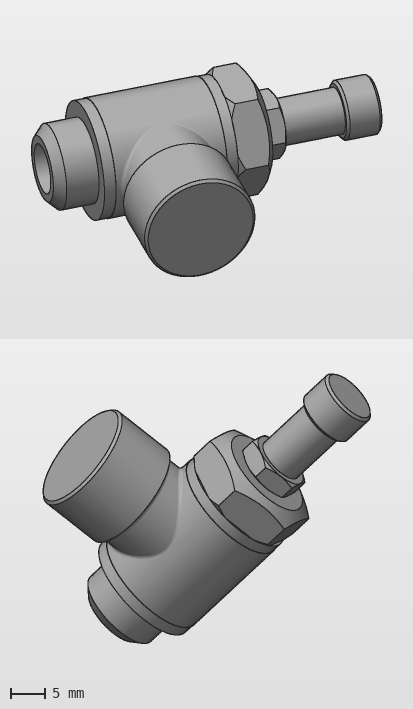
import cadquery as cq
import math

SPIGOT_LENGTH = 6.55
LOWER_RING_END = 8.3
SLEEVE_END = 25.5
BODY_END = 27.2
NUT_END = 33.15
LOCKNUT_END = 36.1
KNOB_START = 45.55
TOTAL_LENGTH = 51.0

TOTAL_WIDTH = 31.85

SPIGOT_RADIUS = 6.5
SPIGOT_CHAMFER = 1.55
RING_RADIUS = 8.95
SLEEVE_RADIUS = 18.0 / 2
STEM_RADIUS = 3.5
KNOB_RADIUS = 4.5
KNOB_CHAMFER = 0.4

NUT_FLATS = 17.0
NUT_TOP_RADIUS = 7.05
NUT_TOP_ANGLE = 30.0
NUT_BOTTOM_ANGLE = 45.0
LOCKNUT_FLATS = 9.05
LOCKNUT_END_RADIUS = 4.5
LOCKNUT_ANGLE = 30.0

BRANCH_Y = (LOWER_RING_END + SLEEVE_END) / 2
NECK_RADIUS = 7.5
NECK_FILLET = 0.5
HEAD_RADIUS = 8.5
HEAD_START = 11.55
HEAD_END = TOTAL_WIDTH - NUT_FLATS / math.sqrt(3)
HEAD_BACK_ANGLE = 60.0
HEAD_FRONT_CHAMFER = 0.4

BORE_RADIUS = 7.5 / 2
BORE_DEPTH = LOWER_RING_END
INNER_BORE_RADIUS = 2.3
INNER_BORE_DEPTH = BRANCH_Y


def cylinder(radius, start, end):
    """Cylinder on the Y axis between two stations."""
    plane = cq.Plane(origin=(0, start, 0), xDir=(1, 0, 0), normal=(0, 1, 0))
    return cq.Workplane(plane).circle(radius).extrude(end - start)


def hexagon(flats, start, end, bottom_radius, bottom_angle, top_radius, top_angle):
    """Hexagonal nut with corners on the X axis and conical ends."""
    corner = flats / math.sqrt(3)
    plane = cq.Plane(origin=(0, start, 0), xDir=(1, 0, 0), normal=(0, 1, 0))
    prism = cq.Workplane(plane).polygon(6, 2 * corner).extrude(end - start)
    bottom_drop = (corner - bottom_radius) * math.tan(math.radians(bottom_angle))
    top_drop = (corner - top_radius) * math.tan(math.radians(top_angle))
    envelope = (
        cq.Workplane("XY")
        .moveTo(0, start)
        .lineTo(bottom_radius, start)
        .lineTo(corner, start + bottom_drop)
        .lineTo(corner, end - top_drop)
        .lineTo(top_radius, end)
        .lineTo(0, end)
        .close()
        .revolve(360, (0, 0, 0), (0, 1, 0))
    )
    return prism.intersect(envelope)


head_shoulder = HEAD_START + (HEAD_RADIUS - NECK_RADIUS) / math.tan(math.radians(HEAD_BACK_ANGLE))
head = (
    cq.Workplane("XY")
    .moveTo(0, BRANCH_Y)
    .lineTo(0, BRANCH_Y + NECK_RADIUS)
    .lineTo(HEAD_START, BRANCH_Y + NECK_RADIUS)
    .lineTo(head_shoulder, BRANCH_Y + HEAD_RADIUS)
    .lineTo(HEAD_END, BRANCH_Y + HEAD_RADIUS)
    .lineTo(HEAD_END, BRANCH_Y)
    .close()
    .revolve(360, (0, BRANCH_Y, 0), (1, BRANCH_Y, 0))
)
head = head.faces(">X").chamfer(HEAD_FRONT_CHAMFER)

sleeve = cylinder(SLEEVE_RADIUS, LOWER_RING_END, SLEEVE_END).union(head)
neck_ends = cq.selectors.BoxSelector(
    (0, BRANCH_Y - NECK_RADIUS, -NECK_RADIUS),
    ((HEAD_START + head_shoulder) / 2, BRANCH_Y + NECK_RADIUS, NECK_RADIUS),
)
sleeve = sleeve.edges(neck_ends).fillet(NECK_FILLET)

spigot = cylinder(SPIGOT_RADIUS, 0, SPIGOT_LENGTH).faces("<Y").chamfer(SPIGOT_CHAMFER)
lower_ring = cylinder(RING_RADIUS, SPIGOT_LENGTH, LOWER_RING_END)
upper_ring = cylinder(RING_RADIUS, SLEEVE_END, BODY_END)
stem = cylinder(STEM_RADIUS, LOCKNUT_END, KNOB_START)
knob = cylinder(KNOB_RADIUS, KNOB_START, TOTAL_LENGTH).edges("%CIRCLE").chamfer(KNOB_CHAMFER)

nut = hexagon(
    NUT_FLATS, BODY_END, NUT_END, RING_RADIUS, NUT_BOTTOM_ANGLE, NUT_TOP_RADIUS, NUT_TOP_ANGLE
)
locknut = hexagon(
    LOCKNUT_FLATS,
    NUT_END,
    LOCKNUT_END,
    LOCKNUT_END_RADIUS,
    LOCKNUT_ANGLE,
    LOCKNUT_END_RADIUS,
    LOCKNUT_ANGLE,
)

result = sleeve
for piece in (spigot, lower_ring, upper_ring, nut, locknut, stem, knob):
    result = result.union(piece)

result = result.cut(cylinder(BORE_RADIUS, 0, BORE_DEPTH))
result = result.cut(cylinder(INNER_BORE_RADIUS, BORE_DEPTH, INNER_BORE_DEPTH))